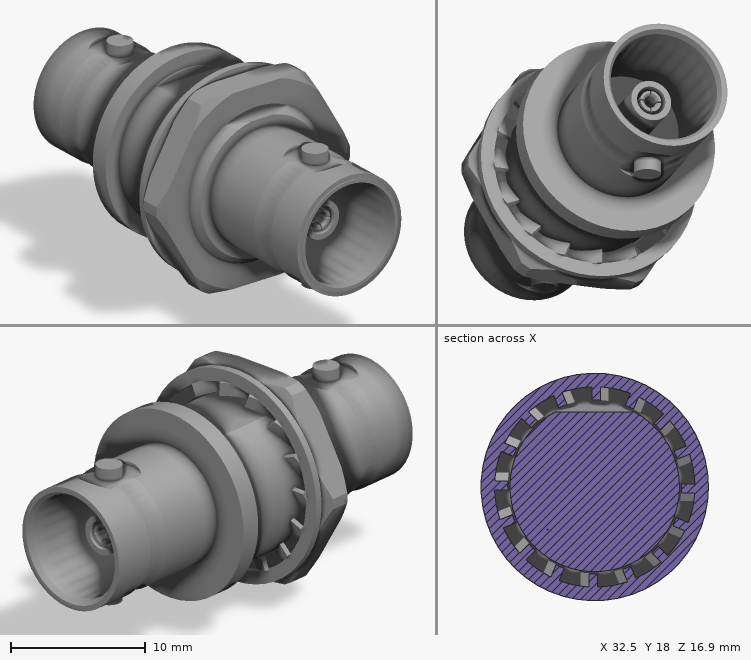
import cadquery as cq
import math

LENGTH = 32.48

SLEEVE_R = 4.85
MOUTH_R = 4.42
MOUTH_DEPTH = 0.4
BORE_R = 4.15
FLOOR_R = 3.95
CAVITY_DEPTH = 8.77
LIP_R = 4.45
LIP_LENGTH = 0.1

STUD_X = 4.22
STUD_R = 1.0
STUD_TOP = 5.52
SPOTFACE_R = 2.4
SPOTFACE_HEIGHT = 4.55
GROOVE_HALF_WIDTH = 1.05
GROOVE_DEPTH = 0.13

NOSE_R = 1.55
NOSE_X = 3.3
NOSE_BORE_R = 1.1
NOSE_BORE_FLOOR_R = 0.9
NOSE_BORE_DEPTH = 2.6
CONTACT_R = 0.8
CONTACT_RECESS = 0.1
SOCKET_R = 0.45
SOCKET_DEPTH = 2.27
SOCKET_CHAMFER = 0.15
CONTACT_SLOT_WIDTH = 0.13
CONTACT_SLOT_DEPTH = 1.62

FLANGE_X = 10.78
FLANGE_END = 12.4
FLANGE_R = 7.5
BODY_END = 21.65
BODY_R = 6.3
BODY_CHAMFER_LENGTH = 0.68
BODY_CHAMFER_HEIGHT = 0.62
FLAT_HEIGHT = 5.6
FLAT_GAP = 0.15

WASHER_X = 17.77
WASHER_THICKNESS = 0.6
WASHER_R = 8.45
WASHER_BORE_R = 7.4
TOOTH_COUNT = 16
TOOTH_WIDTH = 2.2
TOOTH_THICKNESS = 0.32
TOOTH_TWIST = 28.0
TOOTH_CLEARANCE = 0.13
TOOTH_ROOT_OVERLAP = 0.05

NUT_X = 18.6
NUT_THICKNESS = 2.4
NUT_ACROSS_FLATS = 15.98
NUT_CORNER_R = 9.0
NUT_CHAMFER_LENGTH = 0.42
NUT_CHAMFER_HEIGHT = 0.7


def rod(x_start, length, radius):
    """Cylinder on the connector axis."""
    return cq.Workplane("YZ", origin=(x_start, 0, 0)).circle(radius).extrude(length)


def revolved(profile):
    """Turn a closed (x, radius) profile about the connector axis."""
    return profile.close().revolve(360, (0, 0, 0), (1, 0, 0))


def stud_groove():
    """Shallow ring with an arc-shaped bottom, centred on the studs."""
    outside = SLEEVE_R + 0.32
    profile = (
        cq.Workplane("XY")
        .moveTo(STUD_X - GROOVE_HALF_WIDTH, outside)
        .lineTo(STUD_X - GROOVE_HALF_WIDTH, SLEEVE_R)
        .threePointArc((STUD_X, SLEEVE_R - GROOVE_DEPTH), (STUD_X + GROOVE_HALF_WIDTH, SLEEVE_R))
        .lineTo(STUD_X + GROOVE_HALF_WIDTH, outside)
    )
    return revolved(profile)


def cavity():
    """Blind, slightly tapered bore of a sleeve with its chamfered mouth."""
    profile = (
        cq.Workplane("XY")
        .moveTo(0, 0)
        .lineTo(0, MOUTH_R)
        .lineTo(MOUTH_DEPTH, BORE_R)
        .lineTo(CAVITY_DEPTH, FLOOR_R)
        .lineTo(CAVITY_DEPTH, 0)
    )
    return revolved(profile)


def insulator_nose():
    """Tube standing on the cavity floor, with a tapered bore around the contact."""
    bore_floor_x = NOSE_X + NOSE_BORE_DEPTH
    profile = (
        cq.Workplane("XY")
        .moveTo(NOSE_X, NOSE_BORE_R)
        .lineTo(NOSE_X, NOSE_R)
        .lineTo(CAVITY_DEPTH, NOSE_R)
        .lineTo(CAVITY_DEPTH, 0)
        .lineTo(bore_floor_x, 0)
        .lineTo(bore_floor_x, NOSE_BORE_FLOOR_R)
    )
    return revolved(profile)


def contact():
    """Socket contact with a countersunk hole and four slots."""
    face_x = NOSE_X + CONTACT_RECESS
    length = NOSE_BORE_DEPTH - CONTACT_RECESS
    socket = rod(face_x, SOCKET_DEPTH, SOCKET_R)
    pin = rod(face_x, length, CONTACT_R).cut(socket)
    pin = pin.faces("<X").edges(cq.selectors.RadiusNthSelector(0)).chamfer(SOCKET_CHAMFER)
    for turn in (0, 90):
        slot = (
            cq.Workplane("XY")
            .box(CONTACT_SLOT_DEPTH, 2 * CONTACT_R, CONTACT_SLOT_WIDTH, centered=(False, True, True))
            .translate((face_x, 0, 0))
            .rotate((0, 0, 0), (1, 0, 0), turn)
        )
        pin = pin.cut(slot)
    return pin


def bayonet_end():
    """Complete jack whose mouth is at X = 0."""
    sleeve = rod(0, LENGTH / 2, SLEEVE_R).cut(stud_groove())
    for turn in (0, 180):
        spotface = (
            cq.Workplane("XY", origin=(STUD_X, 0, SPOTFACE_HEIGHT))
            .circle(SPOTFACE_R)
            .extrude(STUD_TOP - SPOTFACE_HEIGHT)
            .rotate((0, 0, 0), (1, 0, 0), turn)
        )
        stud = (
            cq.Workplane("XY")
            .center(STUD_X, 0)
            .circle(STUD_R)
            .extrude(STUD_TOP)
            .rotate((0, 0, 0), (1, 0, 0), turn)
        )
        sleeve = sleeve.cut(spotface).union(stud)
    return sleeve.cut(cavity()).union(insulator_nose()).union(contact())


def threaded_body():
    """Flange and body; the flat stops just short of the flange."""
    profile = (
        cq.Workplane("XY")
        .moveTo(FLANGE_X, 0)
        .lineTo(FLANGE_X, FLANGE_R)
        .lineTo(FLANGE_END, FLANGE_R)
        .lineTo(FLANGE_END, BODY_R)
        .lineTo(BODY_END - BODY_CHAMFER_LENGTH, BODY_R)
        .lineTo(BODY_END, BODY_R - BODY_CHAMFER_HEIGHT)
        .lineTo(BODY_END, 0)
    )
    flat_start = FLANGE_END + FLAT_GAP
    above_flat = (
        cq.Workplane("XY")
        .box(BODY_END - flat_start, 2 * BODY_R, BODY_R, centered=(False, True, False))
        .translate((flat_start, 0, FLAT_HEIGHT))
    )
    return revolved(profile).cut(above_flat)


def lock_washer():
    """Flat ring with twisted inner teeth that bite into the nut face."""
    ring = rod(WASHER_X, WASHER_THICKNESS, WASHER_R).cut(rod(WASHER_X, WASHER_THICKNESS, WASHER_BORE_R))
    middle_x = WASHER_X + WASHER_THICKNESS / 2
    inner_r = BODY_R + TOOTH_CLEARANCE
    reach = WASHER_BORE_R + TOOTH_ROOT_OVERLAP
    zone_start = middle_x - TOOTH_WIDTH
    tooth_zone = rod(zone_start, 2 * TOOTH_WIDTH, reach).cut(rod(zone_start, 2 * TOOTH_WIDTH, inner_r))
    tooth = (
        cq.Workplane("XY")
        .box(TOOTH_THICKNESS, 2 * reach, TOOTH_WIDTH)
        .translate((0, -reach, 0))
        .rotate((0, 0, 0), (0, 1, 0), -TOOTH_TWIST)
        .translate((middle_x, 0, 0))
        .intersect(tooth_zone)
    )
    for index in range(TOOTH_COUNT):
        ring = ring.union(tooth.rotate((0, 0, 0), (1, 0, 0), index * 360 / TOOTH_COUNT))
    return ring


def nut():
    """Hexagon with corners on the Y axis, chamfered on both faces."""
    corner_circle = NUT_ACROSS_FLATS / math.cos(math.pi / 6)
    hexagon = (
        cq.Workplane("YZ", origin=(NUT_X, 0, 0))
        .polygon(6, corner_circle)
        .extrude(NUT_THICKNESS)
    )
    turned = rod(NUT_X, NUT_THICKNESS, NUT_CORNER_R)
    turned = turned.faces("<X").chamfer(NUT_CHAMFER_LENGTH, NUT_CHAMFER_HEIGHT)
    turned = turned.faces(">X").chamfer(NUT_CHAMFER_LENGTH, NUT_CHAMFER_HEIGHT)
    return hexagon.intersect(turned).cut(rod(NUT_X, NUT_THICKNESS, BODY_R))


def lip():
    """Ring that fills the right-hand mouth chamfer and stands slightly proud of the rim."""
    length = MOUTH_DEPTH + LIP_LENGTH
    start_x = LENGTH - length
    return rod(start_x, length, LIP_R).cut(rod(start_x, length, BORE_R))


left_end = bayonet_end()
right_end = left_end.mirror("YZ").translate((LENGTH - LIP_LENGTH, 0, 0))

result = (
    left_end
    .union(right_end)
    .union(lip())
    .union(threaded_body())
    .union(lock_washer())
    .union(nut())
)